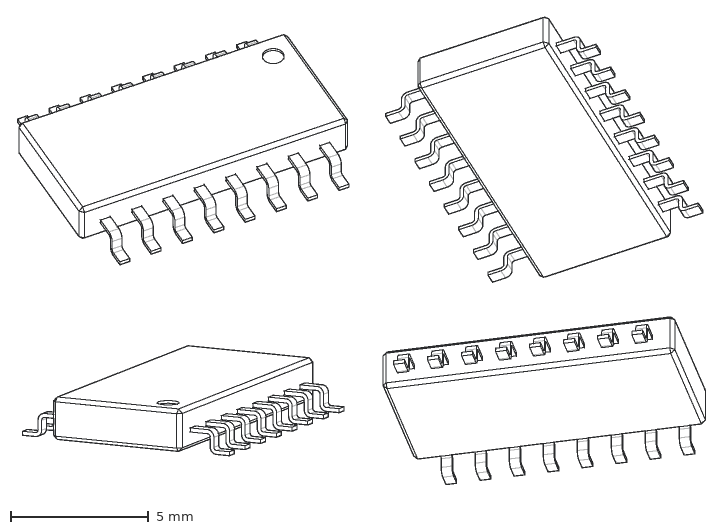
import cadquery as cq

housing_length = 10.89
housing_width = 5.24
housing_top = 1.7
housing_bottom = 0.12
housing_chamfer = 0.15

lead_count = 8
lead_row_length = 8.89
lead_pitch = lead_row_length / (lead_count - 1)
lead_span = 8.42
lead_width = 0.4
lead_thickness = 0.15
lead_top = 0.89
foot_flat_length = 0.52
inner_bend_radius = 0.11
outer_bend_radius = inner_bend_radius + lead_thickness

marker_diameter = 0.8
marker_inset = 1.0
marker_drop = 0.1
marker_thickness = 0.1
marker_x = -housing_width / 2 + marker_inset
marker_y = housing_length / 2 - marker_inset
marker_top = housing_top - marker_drop
marker_bottom = marker_top - marker_thickness


def make_lead(y):
    """One strip centred on y, with a gull-wing bend at both ends."""
    tip_x = lead_span / 2
    foot_end_x = tip_x - foot_flat_length
    riser_outer_x = foot_end_x - inner_bend_radius
    riser_inner_x = riser_outer_x - lead_thickness
    shoulder_x = riser_outer_x - outer_bend_radius
    lead_underside = lead_top - lead_thickness

    profile = (
        cq.Workplane("XZ", origin=(0, y, 0))
        .moveTo(0, lead_top)
        .lineTo(shoulder_x, lead_top)
        .radiusArc((riser_outer_x, lead_top - outer_bend_radius), outer_bend_radius)
        .lineTo(riser_outer_x, lead_thickness + inner_bend_radius)
        .radiusArc((foot_end_x, lead_thickness), -inner_bend_radius)
        .lineTo(tip_x, lead_thickness)
        .lineTo(tip_x, 0)
        .lineTo(foot_end_x, 0)
        .radiusArc((riser_inner_x, outer_bend_radius), outer_bend_radius)
        .lineTo(riser_inner_x, lead_underside - inner_bend_radius)
        .radiusArc((shoulder_x, lead_underside), -inner_bend_radius)
        .lineTo(0, lead_underside)
        .mirrorY()
    )
    return profile.extrude(lead_width / 2, both=True)


def make_marker_cylinder(bottom, top):
    """A cylinder on the marker axis between two heights."""
    return (
        cq.Workplane("XY", origin=(marker_x, marker_y, bottom))
        .circle(marker_diameter / 2)
        .extrude(top - bottom)
    )


def make_housing(leads):
    """The chamfered block with the marker recess and a passage for each lead."""
    block = (
        cq.Workplane("XY", origin=(0, 0, housing_bottom))
        .rect(housing_width, housing_length)
        .extrude(housing_top - housing_bottom)
        .edges()
        .chamfer(housing_chamfer)
    )
    block = block.cut(make_marker_cylinder(marker_bottom, housing_top))
    for lead in leads:
        block = block.cut(lead)
    return block


leads = []
for index in range(lead_count):
    lead_y = -lead_row_length / 2 + index * lead_pitch
    leads.append(make_lead(lead_y))

marker = make_marker_cylinder(marker_bottom, marker_top)
housing = make_housing(leads)

lead_solids = [lead.val() for lead in leads]
result = cq.Compound.makeCompound([housing.val(), marker.val(), *lead_solids])